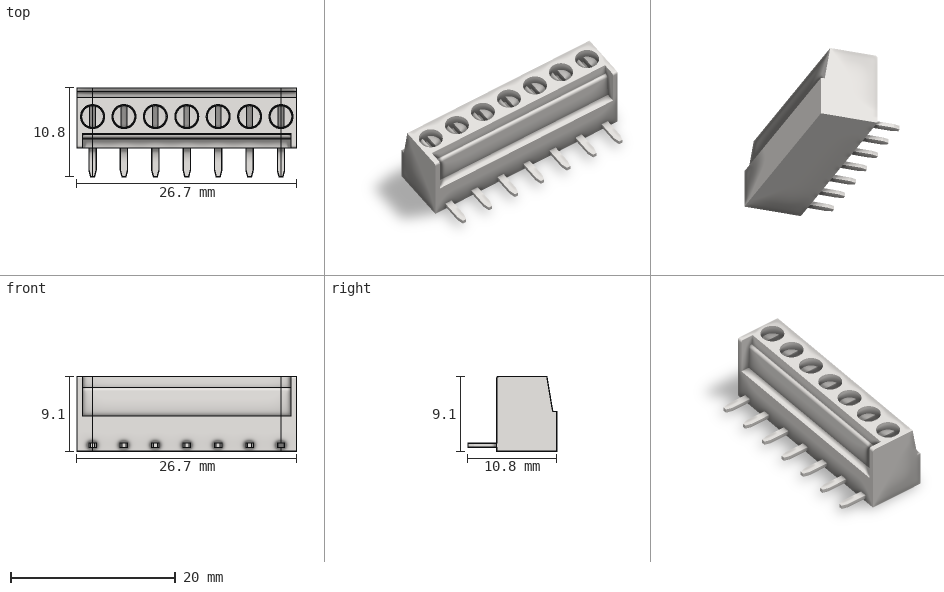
import cadquery as cq

POLES = 7
LENGTH = 26.67
HEIGHT = 9.1
DEPTH = 7.3
PITCH = LENGTH / POLES
END_POLE_X = (POLES - 1) / 2 * PITCH

LEDGE_HEIGHT = 4.83
LEDGE_DEPTH = 0.48
SLOPE_TOP_DEPTH = 1.2

END_WALL = 0.67
FRONT_EDGE_RADIUS = 0.3
RECESS_FLOOR_HEIGHT = 4.27
RECESS_FLOOR_DEPTH = 1.12
LIP_RADIUS = 0.4
LIP_DEPTH = 1.23
LIP_DROP = 1.8
RECESS_TOP_DEPTH = 1.75

SCREW_Y = 3.81
HOLE_DIAMETER = 2.9
HOLE_DEPTH = 2.67
SCREW_DIAMETER = 2.65
SCREW_DROP = 1.07
SLOT_WIDTH = 0.7
SLOT_DEPTH = 0.93

PIN_LENGTH = 3.5
PIN_WIDTH = 0.9
PIN_TIP_WIDTH = 0.48
PIN_TAPER_LENGTH = 0.8
PIN_THICKNESS = 0.5
PIN_UNDERSIDE = 0.48

POLE_X_POSITIONS = [-END_POLE_X + i * PITCH for i in range(POLES)]


def along_x(profile, length):
    """Extrude a profile drawn in Y and Z symmetrically about X = 0."""
    return profile.extrude(length / 2, both=True)


def housing_block():
    profile = (
        cq.Workplane("YZ")
        .moveTo(0, 0)
        .lineTo(DEPTH, 0)
        .lineTo(DEPTH, LEDGE_HEIGHT)
        .lineTo(DEPTH - LEDGE_DEPTH, LEDGE_HEIGHT)
        .lineTo(DEPTH - SLOPE_TOP_DEPTH, HEIGHT)
        .lineTo(0, HEIGHT)
        .close()
    )
    return along_x(profile, LENGTH).edges("<Y and >Z").fillet(FRONT_EDGE_RADIUS)


def front_recess():
    lip_z = HEIGHT - LIP_DROP
    profile = (
        cq.Workplane("YZ")
        .moveTo(0, RECESS_FLOOR_HEIGHT)
        .lineTo(RECESS_FLOOR_DEPTH, RECESS_FLOOR_HEIGHT)
        .lineTo(LIP_DEPTH, lip_z)
        .radiusArc((LIP_DEPTH + LIP_RADIUS, lip_z + LIP_RADIUS), LIP_RADIUS)
        .lineTo(RECESS_TOP_DEPTH, HEIGHT)
        .lineTo(0, HEIGHT)
        .close()
    )
    return along_x(profile, LENGTH - 2 * END_WALL)


def screw_hole(x):
    """Blind hole, less the slotted screw that rises from its floor."""
    floor = cq.Workplane("XY", origin=(x, SCREW_Y, HEIGHT - HOLE_DEPTH))
    hole = floor.circle(HOLE_DIAMETER / 2).extrude(HOLE_DEPTH)
    screw_height = HOLE_DEPTH - SCREW_DROP
    screw = floor.circle(SCREW_DIAMETER / 2).extrude(screw_height)
    slot = (
        floor.workplane(offset=screw_height - SLOT_DEPTH)
        .rect(SLOT_WIDTH, SCREW_DIAMETER)
        .extrude(SLOT_DEPTH)
    )
    return hole.cut(screw.cut(slot))


def pin(x):
    taper_y = PIN_TAPER_LENGTH - PIN_LENGTH
    outline = [
        (-PIN_WIDTH / 2, 0),
        (-PIN_WIDTH / 2, taper_y),
        (-PIN_TIP_WIDTH / 2, -PIN_LENGTH),
        (PIN_TIP_WIDTH / 2, -PIN_LENGTH),
        (PIN_WIDTH / 2, taper_y),
        (PIN_WIDTH / 2, 0),
    ]
    base = cq.Workplane("XY", origin=(x, 0, PIN_UNDERSIDE))
    return base.polyline(outline).close().extrude(PIN_THICKNESS)


def connector_row():
    row = housing_block().cut(front_recess())
    for x in POLE_X_POSITIONS:
        row = row.cut(screw_hole(x)).union(pin(x))
    return row


def section(row, x_start, x_end):
    """The part of the row between two planes square to X."""
    slab_depth = PIN_LENGTH + DEPTH
    slab = cq.Workplane("XY").box(x_end - x_start, slab_depth, HEIGHT, centered=False)
    return row.intersect(slab.translate((x_start, -PIN_LENGTH, 0)))


connector = connector_row()
middle_section = section(connector, -END_POLE_X, END_POLE_X)
end_sections = [
    section(connector, start, start + PITCH / 2)
    for start in (-LENGTH / 2, END_POLE_X)
]

result = cq.Compound.makeCompound(
    [middle_section.val(), *[end.val() for end in end_sections]]
)